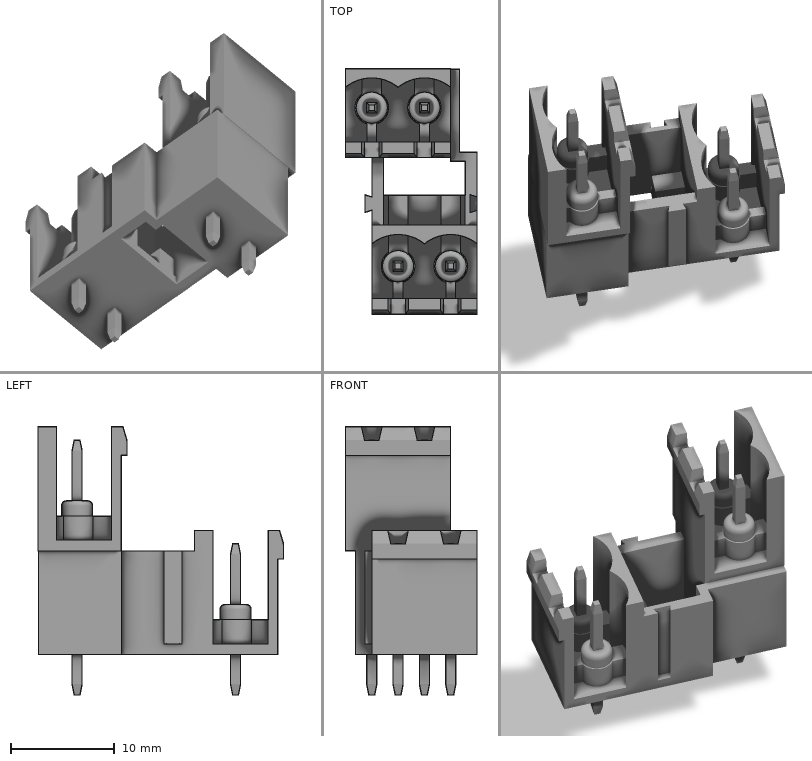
import cadquery as cq
import math


pitch = 5.08
header_width = 2 * pitch
upper_shift_x = -pitch / 2
upper_lift = 10.0
pin_row_spacing = 15.28
header_spacing = 15.1
lower_back_y = 3.95
upper_back_y = lower_back_y + header_spacing

header_height = 12.0
header_floor = 1.04
front_wall_y = -8.05
front_wall_thickness = 0.95
pocket_front_y = front_wall_y + front_wall_thickness
scallop_top_y = -0.9
scallop_radius = 4.01

lip_reach = 0.55
lip_height = 2.77
lip_bevel_height = 1.32
lip_bevel_depth = 0.4

notch_top_width = 2.0
notch_bottom_width = 1.4
notch_depth = lip_bevel_height

collar_height = 2.33
collar_diameter = 3.25
cap_diameter = 3.0
cap_height = 1.48
cap_fillet = 0.5
back_rib_width = 1.9
front_rib_width = 0.95

pin_size = 0.98
pin_tip_size = 0.57
pin_tip_length = 1.04
pin_below = 3.9
pin_above_floor = 9.65

base_height = upper_lift
pedestal_left = -1.58
pedestal_right = 8.47
pedestal_setback = 0.05
side_wall = 1.15
jog_thickness = 0.9
ledge_depth = 2.9

dovetail_y = 6.03
dovetail_depth = 0.67
dovetail_tip_width = 1.74
dovetail_root_width = 1.3
dovetail_bottom = 1.04

pin_offsets = [pitch / 2, 3 * pitch / 2]
pedestal_front_y = upper_back_y + front_wall_y


def box(x0, x1, y0, y1, z0, z1):
    """Block between the given limits along each axis."""
    return cq.Workplane("XY").box(x1 - x0, y1 - y0, z1 - z0, centered=False).translate((x0, y0, z0))


def header_shell():
    """Header profile with its pocket; the back face is at Y = 0 and the underside at Z = 0."""
    lip_front_y = front_wall_y - lip_reach
    lip_bottom = header_height - lip_height
    profile = [
        (0, 0),
        (front_wall_y, 0),
        (front_wall_y, lip_bottom),
        (lip_front_y, lip_bottom),
        (lip_front_y, header_height - lip_bevel_height),
        (lip_front_y + lip_bevel_depth, header_height),
        (0, header_height),
    ]
    shell = cq.Workplane("YZ").polyline(profile).close().extrude(header_width)
    return shell.cut(pocket())


def pocket():
    """Open space between the walls; its back is one arc per pin."""
    sagitta = scallop_radius - math.sqrt(scallop_radius**2 - (pitch / 2) ** 2)
    scallop_end_y = scallop_top_y - sagitta
    outline = cq.Workplane("XY").moveTo(0, pocket_front_y).lineTo(0, scallop_end_y)
    for x in pin_offsets:
        outline = outline.threePointArc((x, scallop_top_y), (x + pitch / 2, scallop_end_y))
    outline = outline.lineTo(header_width, pocket_front_y).close()
    return outline.extrude(header_height - header_floor).translate((0, 0, header_floor))


def notch(x):
    """Tapered notch through the front wall and its lip."""
    z_bottom = header_height - notch_depth
    outline = [
        (x - notch_bottom_width / 2, z_bottom),
        (x + notch_bottom_width / 2, z_bottom),
        (x + notch_top_width / 2, header_height),
        (x - notch_top_width / 2, header_height),
    ]
    cutter_length = front_wall_thickness + lip_reach
    cutter = cq.Workplane("XZ").polyline(outline).close().extrude(cutter_length)
    return cutter.translate((0, pocket_front_y, 0))


def collar(x, y):
    """Stepped round collar with a rounded rim, and its ribs to both walls."""
    rib_top = header_floor + collar_height
    post = cq.Workplane("XY").circle(collar_diameter / 2).extrude(rib_top)
    cap = cq.Workplane("XY").circle(cap_diameter / 2).extrude(cap_height)
    cap = cap.faces(">Z").edges().fillet(cap_fillet).translate((0, 0, rib_top))
    back_rib = box(x - back_rib_width / 2, x + back_rib_width / 2, y, scallop_top_y, 0, rib_top)
    front_rib = box(x - front_rib_width / 2, x + front_rib_width / 2, pocket_front_y, y, 0, rib_top)
    return post.union(cap).translate((x, y, 0)).union(back_rib).union(front_rib)


def make_header(pin_y):
    """Complete header; pin_y is the pin row measured from the back face."""
    header = header_shell()
    for x in pin_offsets:
        header = header.cut(notch(x)).union(collar(x, pin_y))
    return header


def dovetail(x_root):
    """Upright dovetail bar that widens towards -X, from x_root outwards."""
    outline = [
        (0, -dovetail_root_width / 2),
        (0, dovetail_root_width / 2),
        (-dovetail_depth, dovetail_tip_width / 2),
        (-dovetail_depth, -dovetail_tip_width / 2),
    ]
    bar = cq.Workplane("XY").polyline(outline).close().extrude(base_height - dovetail_bottom)
    return bar.translate((x_root, dovetail_y, dovetail_bottom))


def make_base():
    """Pedestal below the upper header, joined to the lower header by two side walls and a ledge."""
    inner_right = header_width - side_wall
    upper_right = header_width + upper_shift_x
    jog_front_y = pedestal_front_y - jog_thickness
    ledge_back_y = lower_back_y + ledge_depth
    pedestal_back_y = upper_back_y - pedestal_setback

    base = box(pedestal_left, pedestal_right, pedestal_front_y, pedestal_back_y, 0, base_height)
    base = base.union(box(0, side_wall, lower_back_y, pedestal_front_y, 0, base_height))
    base = base.union(box(inner_right, header_width, lower_back_y, pedestal_front_y, 0, base_height))
    base = base.union(box(upper_right, header_width, jog_front_y, pedestal_front_y, 0, base_height))

    base = base.union(box(0, header_width, lower_back_y, ledge_back_y, 0, header_floor))
    for x in pin_offsets:
        x0 = x - back_rib_width / 2
        rib_top = header_floor + collar_height
        base = base.union(box(x0, x0 + back_rib_width, lower_back_y, ledge_back_y, 0, rib_top))

    return base.union(dovetail(0)).cut(dovetail(header_width))


def make_pin(x, y, top):
    """Square pin with a tapered tip at each end."""
    shank_bottom = -pin_below + pin_tip_length
    shank_top = top - pin_tip_length
    shank = cq.Workplane("XY").workplane(offset=shank_bottom).rect(pin_size, pin_size)
    shank = shank.extrude(shank_top - shank_bottom)
    for face in (">Z", "<Z"):
        tip = shank.faces(face).workplane().rect(pin_size, pin_size)
        tip = tip.workplane(offset=pin_tip_length).rect(pin_tip_size, pin_tip_size)
        shank = tip.loft(ruled=True, combine=True)
    return shank.translate((x, y, 0))


lower_pin_top = header_floor + pin_above_floor
pins = []
for x in pin_offsets:
    pins.append(make_pin(x, 0, lower_pin_top))
    pins.append(make_pin(x + upper_shift_x, pin_row_spacing, lower_pin_top + upper_lift))

lower_header = make_header(-lower_back_y).translate((0, lower_back_y, 0))
upper_header = make_header(pin_row_spacing - upper_back_y)
upper_header = upper_header.translate((upper_shift_x, upper_back_y, upper_lift))
housing = make_base().union(lower_header).union(upper_header)
for pin in pins:
    housing = housing.cut(pin)

result = cq.Compound.makeCompound([housing.solids().val(), *[pin.solids().val() for pin in pins]])